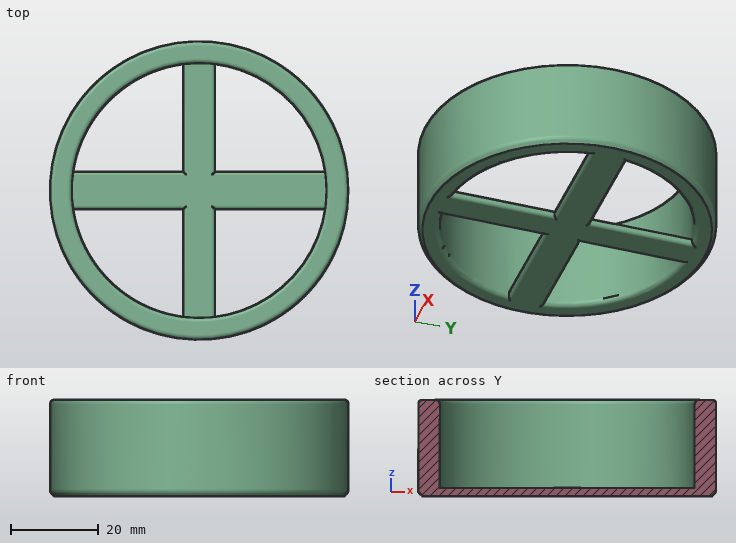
import cadquery as cq

outer_diameter = 68.0
bore_diameter = 58.0
height = 22.0
rim_fillet = 1.0
bore_base_fillet = 1.15
base_chamfer = 1.0
base_blend = 1.2

spoke_width_along_x = 8.6
spoke_width_along_y = 7.3
spoke_thickness = 2.0
spoke_fillet = 0.8

outer_radius = outer_diameter / 2
bore_radius = bore_diameter / 2
spoke_length = (outer_diameter + bore_diameter) / 2


def make_ring():
    body = cq.Workplane("XY").circle(outer_radius).extrude(height)
    body = body.faces("<Z").edges().chamfer(base_chamfer)
    body = body.edges("%CIRCLE").edges(cq.selectors.CenterNthSelector(cq.Vector(0, 0, 1), 1))
    body = body.fillet(base_blend)
    ring = body.faces(">Z").workplane().circle(bore_radius).cutThruAll()
    ring = ring.faces(">Z").edges().fillet(rim_fillet)
    return ring.faces("<Z").edges(cq.selectors.RadiusNthSelector(0)).fillet(bore_base_fillet)


def make_spoke(size_x, size_y, long_edges):
    spoke = cq.Workplane("XY").rect(size_x, size_y).extrude(spoke_thickness)
    return spoke.edges(long_edges).fillet(spoke_fillet)


spoke_along_x = make_spoke(spoke_length, spoke_width_along_x, "|X")
spoke_along_y = make_spoke(spoke_width_along_y, spoke_length, "|Y")

result = make_ring().union(spoke_along_x).union(spoke_along_y)